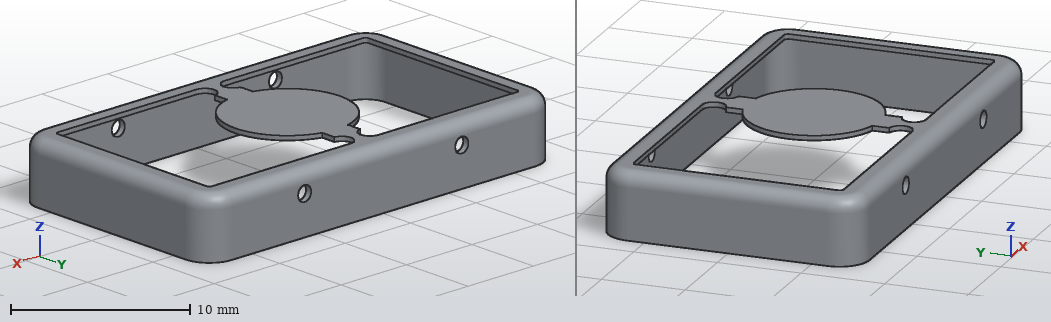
import cadquery as cq
import math

length = 26.8
width = 15.6
height = 4.0
corner_radius = 1.8
top_edge_radius = 0.83

wall = 0.43
plate_thickness = 0.3
cavity_corner_radius = 1.5

rim_width = 1.53
window_length = length - 2 * rim_width
window_width = width - 2 * rim_width
window_corner_radius = 0.25

disc_radius = 4.0
tab_half_width = 1.0
neck_half_width = 0.38
neck_arc_radius = 0.7

hole_diameter = 1.0
hole_spacing = 12.0
hole_height = 2.6


def rounded_block(size_x, size_y, size_z, radius):
    """Block standing on Z = 0 with rounded vertical edges."""
    block = cq.Workplane("XY").box(size_x, size_y, size_z, centered=(True, True, False))
    return block.edges("|Z").fillet(radius)


def make_frame():
    body = rounded_block(length, width, height, corner_radius)
    body = body.faces(">Z").edges().fillet(top_edge_radius)
    cavity = rounded_block(
        length - 2 * wall, width - 2 * wall, height - plate_thickness, cavity_corner_radius
    )
    window = rounded_block(window_length, window_width, height, window_corner_radius)
    return body.cut(cavity).cut(window)


def make_tab(side):
    """Tab from the disc centre to the rim at +Y (side = 1) or -Y (side = -1)."""
    rim_y = window_width / 2
    arc_x = neck_half_width + neck_arc_radius
    arc_y = rim_y - neck_arc_radius
    shoulder_y = arc_y - math.sqrt(neck_arc_radius**2 - (arc_x - tab_half_width) ** 2)
    overlap_y = width / 2 - top_edge_radius
    diagonal = neck_arc_radius * math.sqrt(0.5)
    upper_mid = (arc_x - diagonal, arc_y + diagonal)
    lower_mid = (arc_x - diagonal, arc_y - diagonal)

    def at(x, y):
        return (x, side * y)

    return (
        cq.Workplane("XY", origin=(0, 0, height - plate_thickness))
        .moveTo(*at(tab_half_width, 0))
        .lineTo(*at(tab_half_width, shoulder_y))
        .threePointArc(at(*lower_mid), at(neck_half_width, arc_y))
        .threePointArc(at(*upper_mid), at(arc_x, rim_y))
        .lineTo(*at(arc_x, overlap_y))
        .lineTo(*at(-arc_x, overlap_y))
        .lineTo(*at(-arc_x, rim_y))
        .threePointArc(at(-upper_mid[0], upper_mid[1]), at(-neck_half_width, arc_y))
        .threePointArc(at(-lower_mid[0], lower_mid[1]), at(-tab_half_width, shoulder_y))
        .lineTo(*at(-tab_half_width, 0))
        .close()
        .extrude(plate_thickness)
    )


def make_disc():
    plane = cq.Workplane("XY", origin=(0, 0, height - plate_thickness))
    return plane.circle(disc_radius).extrude(plate_thickness)


def make_cross_holes():
    return (
        cq.Workplane("XZ", origin=(0, 0, hole_height))
        .pushPoints([(-hole_spacing / 2, 0), (hole_spacing / 2, 0)])
        .circle(hole_diameter / 2)
        .extrude(width / 2, both=True)
    )


result = make_frame().union(make_disc())
for tab_side in (1, -1):
    result = result.union(make_tab(tab_side))
result = result.cut(make_cross_holes())